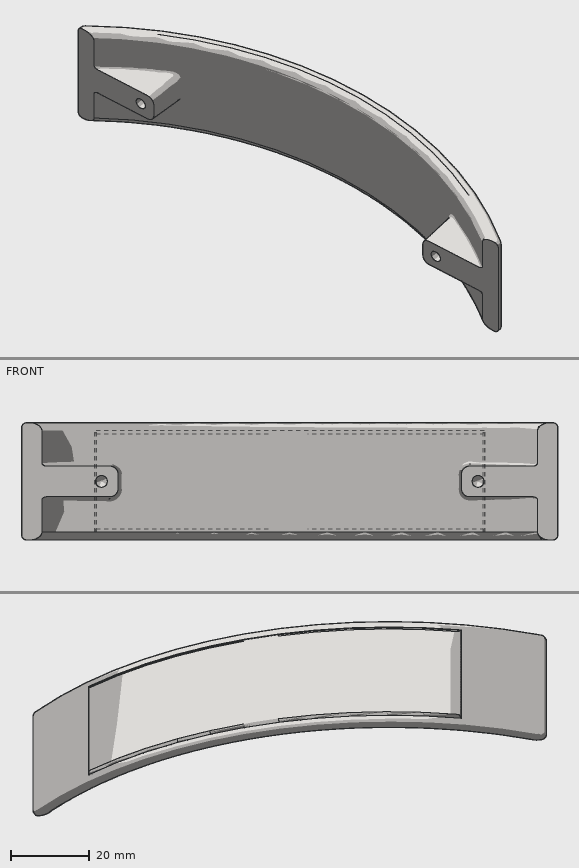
import cadquery as cq
import math

length = 137.2
half_length = length / 2
height_z = 30.0
bow_apex = 25.1
end_height = 1.4
band_thickness = 4.3
end_corner_radius = 1.4
outer_edge_fillet = 1.1
inner_edge_fillet = 2.0

bow_rise = bow_apex - end_height
outer_radius = (half_length**2 + bow_rise**2) / (2 * bow_rise)
inner_radius = outer_radius - band_thickness
centre_y = bow_apex - outer_radius
radius_tolerance = 0.001

leg_tip_x = 43.9
leg_root_x = 64.5
leg_width = 7.8
leg_corner_radius = 2.0
leg_draft = 3.0
leg_base_fillet = 0.8
leg_embed = 1.4

hole_x = 48.1
hole_diameter = 3.0
hole_depth = 5.5
hole_tip_depth = hole_diameter / 2

inlay_proud = 0.4
inlay_thickness = 1.4
inlay_margin = 2.0
inlay_half_span = 50.0
inlay_edge_fillet = 0.8
inlay_top_radius = outer_radius + inlay_proud
inlay_floor_radius = inlay_top_radius - inlay_thickness
inlay_half_angle = math.asin(inlay_half_span / inlay_top_radius)


def arc_point(radius, angle):
    """Point on a bow arc, with the angle measured from +Y toward +X."""
    return (radius * math.sin(angle), centre_y + radius * math.cos(angle))


def arc_face_edges(body, radius):
    """All edges around the bow-shaped faces of the given radius."""

    def has_radius(face):
        curves = [edge for edge in face.Edges() if edge.geomType() == "CIRCLE"]
        return any(abs(curve.radius() - radius) < radius_tolerance for curve in curves)

    return body.faces("%CYLINDER").filter(has_radius).edges()


def extrude_centred(profile, height):
    return profile.extrude(height / 2, both=True)


def make_band():
    inner_foot_x = math.sqrt(inner_radius**2 - centre_y**2)
    profile = (
        cq.Workplane("XY")
        .moveTo(-half_length, 0)
        .lineTo(-half_length, end_height)
        .threePointArc((0, bow_apex), (half_length, end_height))
        .lineTo(half_length, 0)
        .lineTo(inner_foot_x, 0)
        .threePointArc((0, bow_apex - band_thickness), (-inner_foot_x, 0))
        .close()
    )
    band = extrude_centred(profile, height_z)
    band = band.edges("|Y").fillet(end_corner_radius)

    band = arc_face_edges(band, outer_radius).fillet(outer_edge_fillet)
    return arc_face_edges(band, inner_radius).edges("%CIRCLE").fillet(inner_edge_fillet)


def make_leg(side):
    """Leg from the mounting plane into the band; side is -1 or +1 along X."""
    tip_corners = "<X" if side > 0 else ">X"
    outline = (
        cq.Sketch()
        .rect(leg_root_x - leg_tip_x, leg_width)
        .vertices(tip_corners)
        .fillet(leg_corner_radius)
    )
    leg = (
        cq.Workplane("XZ")
        .center(side * (leg_tip_x + leg_root_x) / 2, 0)
        .placeSketch(outline)
        .extrude(-bow_apex, taper=-leg_draft)
    )
    inside_bow = extrude_centred(
        cq.Workplane("XY").center(0, centre_y).circle(inner_radius + leg_embed), height_z
    )
    return leg.intersect(inside_bow)


def fillet_leg_bases(body):
    """Round the joints where the legs run into the inner face of the bow."""

    def is_joint(edge):
        middle = edge.Center()
        return abs(middle.z) < leg_width and middle.y > 0

    joints = arc_face_edges(body, inner_radius).filter(is_joint)
    return joints.fillet(leg_base_fillet)


def make_hole(side):
    return (
        cq.Workplane("XY")
        .moveTo(0, 0)
        .lineTo(hole_diameter / 2, 0)
        .lineTo(hole_diameter / 2, hole_depth)
        .lineTo(0, hole_depth + hole_tip_depth)
        .close()
        .revolve(360, (0, 0), (0, 1))
        .translate((side * hole_x, 0, 0))
    )


def make_inlay_blank():
    profile = (
        cq.Workplane("XY")
        .moveTo(*arc_point(inlay_floor_radius, -inlay_half_angle))
        .lineTo(*arc_point(inlay_top_radius, -inlay_half_angle))
        .threePointArc(arc_point(inlay_top_radius, 0), arc_point(inlay_top_radius, inlay_half_angle))
        .lineTo(*arc_point(inlay_floor_radius, inlay_half_angle))
        .threePointArc(arc_point(inlay_floor_radius, 0), arc_point(inlay_floor_radius, -inlay_half_angle))
        .close()
    )
    return extrude_centred(profile, height_z - 2 * inlay_margin)


def make_inlay():
    return arc_face_edges(make_inlay_blank(), inlay_top_radius).fillet(inlay_edge_fillet)


def make_handle():
    body = make_band()
    for side in (-1, 1):
        body = body.union(make_leg(side))
    body = fillet_leg_bases(body)
    for side in (-1, 1):
        body = body.cut(make_hole(side))
    return body.cut(make_inlay_blank())


handle = make_handle()
inlay = make_inlay()

result = cq.Compound.makeCompound([handle.val(), inlay.val()])